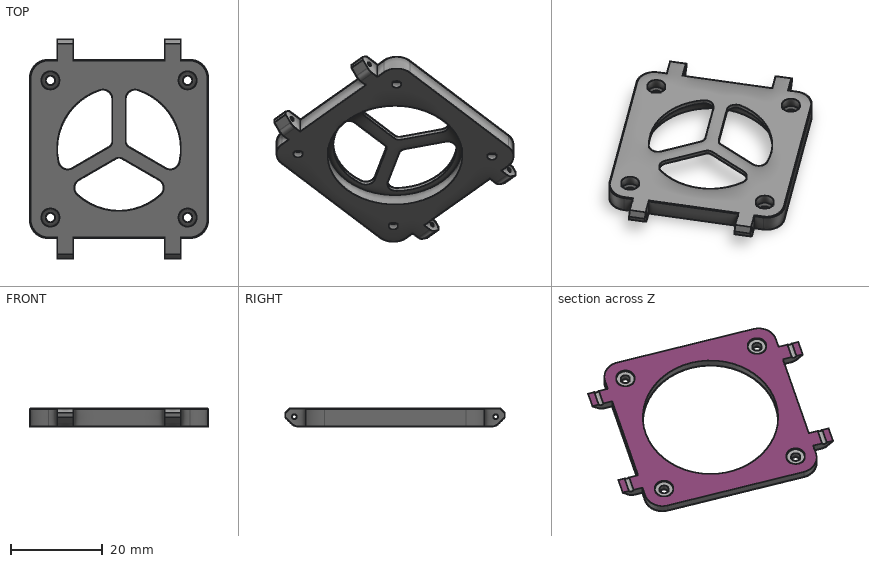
import cadquery as cq
import math

plate_size = 39.0
height = 4.0
corner_radius = 4.0
plate_chamfer = 0.2

screw_offset = 15.0
screw_diameter = 2.0
counterbore_diameter = 4.0
counterbore_depth = 2.3

opening_radius = 13.5
spoke_width = 3.0
spoke_thickness = 1.0
recess_radius = 14.75
recess_depth = height - spoke_thickness
window_inner_radius = 1.5
window_outer_radius = 2.0
window_count = 3

overall_length = 48.0
lug_inner_x = 10.0
lug_width = 3.5
lug_top_chamfer = 1.0
lug_bottom_chamfer = 2.0
lug_bottom_radius = 2.0
pin_diameter = 1.0
pin_inset = 2.0
pin_height = 2.15

lug_root_y = plate_size / 2 - 2 * plate_chamfer
lug_tip_y = overall_length / 2


def make_plate():
    plate = cq.Workplane("XY").box(plate_size, plate_size, height, centered=(True, True, False))
    return plate.edges("|Z").fillet(corner_radius).faces(">Z").edges().chamfer(plate_chamfer)


def make_lug(inner_x):
    """Lug on the +Y side, spanning one lug width in +X from inner_x."""
    profile = (
        cq.Workplane("YZ", origin=(inner_x, 0, 0))
        .moveTo(lug_root_y, 0)
        .lineTo(lug_tip_y - lug_bottom_chamfer, 0)
        .lineTo(lug_tip_y, lug_bottom_chamfer)
        .lineTo(lug_tip_y, height - lug_top_chamfer)
        .lineTo(lug_tip_y - lug_top_chamfer, height)
        .lineTo(lug_root_y, height)
        .close()
    )
    lug = profile.extrude(lug_width)
    bottom_corner = cq.selectors.NearestToPointSelector(
        (inner_x + lug_width / 2, lug_tip_y - lug_bottom_chamfer, 0)
    )
    lug = lug.edges(bottom_corner).fillet(lug_bottom_radius)
    pin_hole = (
        cq.Workplane("YZ", origin=(inner_x, 0, 0))
        .center(lug_tip_y - pin_inset, pin_height)
        .circle(pin_diameter / 2)
        .extrude(lug_width)
    )
    return lug.cut(pin_hole)


def make_window(direction):
    """Rounded sector between two spokes, centred on the given direction in degrees."""
    half_angle = math.pi / window_count
    apex_x = spoke_width / 2 / math.sin(half_angle)
    end_angle = half_angle - math.asin(spoke_width / 2 / opening_radius)
    end_x = opening_radius * math.cos(end_angle)
    end_y = opening_radius * math.sin(end_angle)
    window = (
        cq.Workplane("XY", origin=(0, 0, recess_depth))
        .moveTo(apex_x, 0)
        .lineTo(end_x, -end_y)
        .threePointArc((opening_radius, 0), (end_x, end_y))
        .close()
        .extrude(spoke_thickness)
        .edges("|Z and <X")
        .fillet(window_inner_radius)
        .edges("|Z and (<Y or >Y)")
        .fillet(window_outer_radius)
    )
    return window.rotate((0, 0, 0), (0, 0, 1), direction)


result = make_plate()

for inner_x in (lug_inner_x, -lug_inner_x - lug_width):
    lug = make_lug(inner_x)
    result = result.union(lug).union(lug.mirror("XZ"))

recess = cq.Workplane("XY").circle(recess_radius).extrude(recess_depth)
result = result.cut(recess)

first_window_direction = -90
for index in range(window_count):
    result = result.cut(make_window(first_window_direction + index * 360 / window_count))

result = (
    result.faces(">Z")
    .workplane(origin=(0, 0, height))
    .rect(2 * screw_offset, 2 * screw_offset, forConstruction=True)
    .vertices()
    .cboreHole(screw_diameter, counterbore_diameter, counterbore_depth)
)